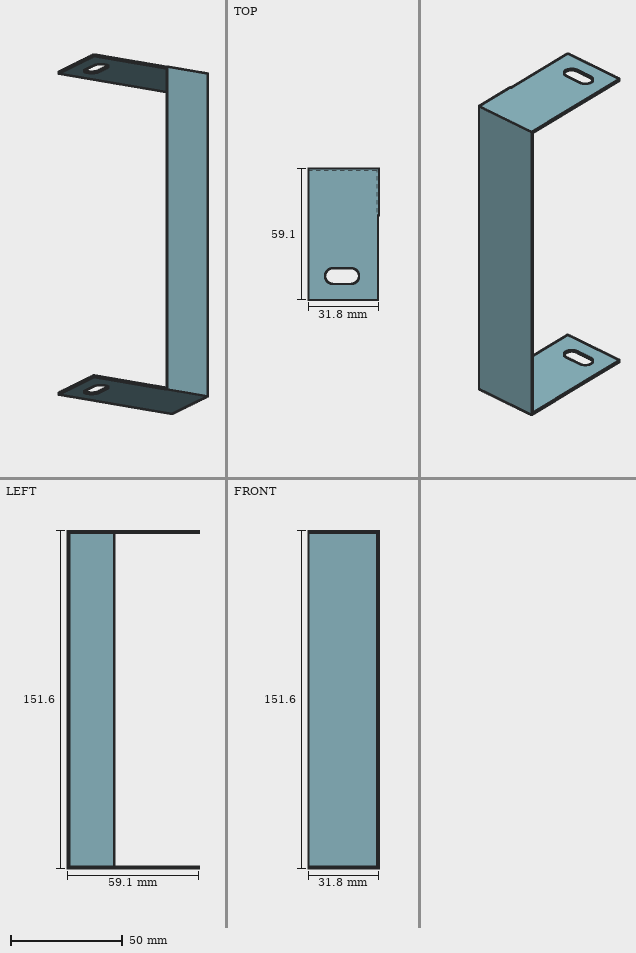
import cadquery as cq

width = 31.8
depth = 59.1
height = 151.6
sheet = 0.9

flange_depth = 21.0
arm_relief = 0.5

slot_length = 15.2
slot_width = 7.0
slot_center_x = 15.2
slot_center_y = 10.8


def block(x_size, y_size, z_size, corner):
    return cq.Workplane("XY").box(x_size, y_size, z_size, centered=False).translate(corner)


def arm(z_bottom):
    """Horizontal arm with a slot near its free end."""
    plate = block(width, depth, sheet, (0, 0, z_bottom))
    relief = block(arm_relief, depth - flange_depth, sheet, (width - arm_relief, 0, z_bottom))
    slot = (
        cq.Workplane("XY", origin=(slot_center_x, slot_center_y, z_bottom))
        .slot2D(slot_length, slot_width)
        .extrude(sheet)
    )
    return plate.cut(relief).cut(slot)


back = block(width, sheet, height, (0, depth - sheet, 0))
flange = block(sheet, flange_depth, height, (width - sheet, depth - flange_depth, 0))

result = back.union(flange).union(arm(0)).union(arm(height - sheet))